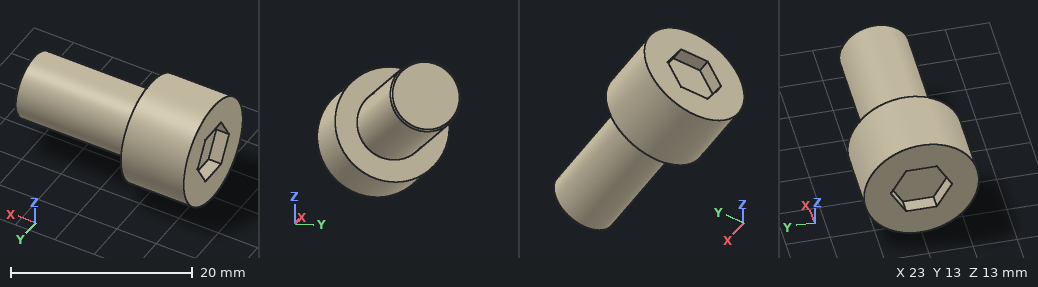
import cadquery as cq
import math

total_length = 23.0
head_length = 8.0
head_diameter = 13.0
shank_diameter = 8.0
tip_chamfer = 0.2
socket_across_flats = 6.0
socket_depth = 1.6

shank_length = total_length - head_length
socket_across_corners = socket_across_flats / math.cos(math.radians(30))


def make_head():
    return cq.Workplane("YZ").circle(head_diameter / 2).extrude(head_length)


def make_shank():
    shank = cq.Workplane("YZ", origin=(head_length, 0, 0)).circle(shank_diameter / 2).extrude(shank_length)
    return shank.faces(">X").chamfer(tip_chamfer)


def make_socket():
    return cq.Workplane("YZ").polygon(6, socket_across_corners).extrude(socket_depth)


result = make_head().union(make_shank()).cut(make_socket())